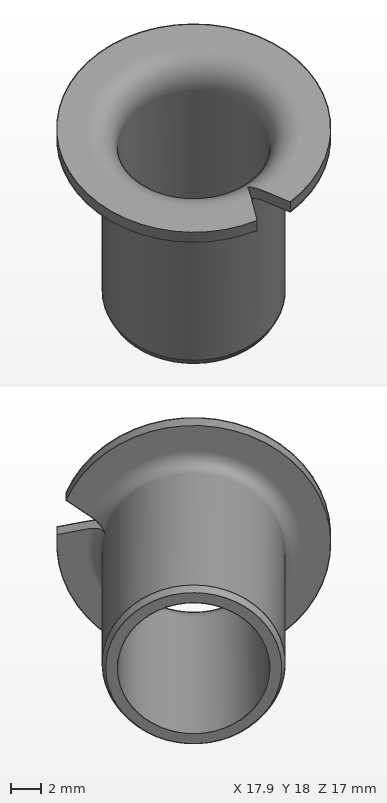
import cadquery as cq
import math

height = 17.0
flange_radius = 8.98
wall = 1.0
tube_radius = 6.0
mouth_radius = 2 * wall
neck_radius = wall
chamfer_height = 0.6
chamfer_width = 0.23
notch_angle = 50.0

bore_radius = tube_radius - wall
flange_bottom = height - wall
diagonal = math.sqrt(0.5)


def flanged_sleeve():
    """Revolve the wall section, in radius and height, about Z."""
    bend_center_radius = bore_radius + mouth_radius
    bend_center_height = height - mouth_radius

    def bend_middle(radius):
        return (
            bend_center_radius - radius * diagonal,
            bend_center_height + radius * diagonal,
        )

    return (
        cq.Workplane("XZ")
        .moveTo(bore_radius, 0)
        .lineTo(tube_radius - chamfer_width, 0)
        .lineTo(tube_radius, chamfer_height)
        .lineTo(tube_radius, bend_center_height)
        .threePointArc(bend_middle(neck_radius), (bend_center_radius, flange_bottom))
        .lineTo(flange_radius, flange_bottom)
        .lineTo(flange_radius, height)
        .lineTo(bend_center_radius, height)
        .threePointArc(bend_middle(mouth_radius), (bore_radius, bend_center_height))
        .close()
        .revolve(360, (0, 0, 0), (0, 1, 0))
    )


def flange_notch():
    """V wedge on the +X side, its tip at the outer surface of the tube."""
    reach = flange_radius
    half_width = (reach - tube_radius) * math.tan(math.radians(notch_angle / 2))
    return (
        cq.Workplane("XY")
        .moveTo(tube_radius, 0)
        .lineTo(reach, half_width)
        .lineTo(reach, -half_width)
        .close()
        .extrude(height)
    )


result = flanged_sleeve().cut(flange_notch())